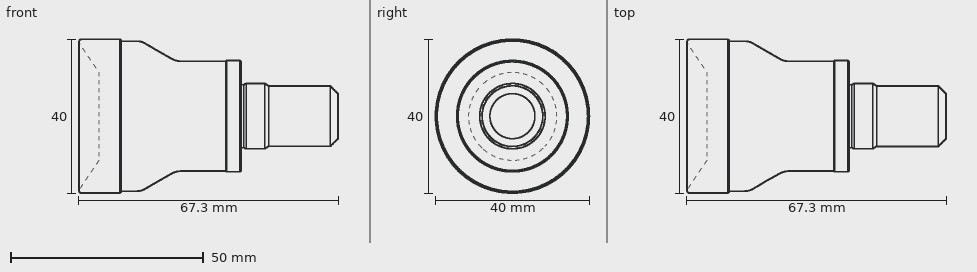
import cadquery as cq
import math

TOTAL_LENGTH = 67.3

CAP_RADIUS = 20.01
CAP_LENGTH = 11.0
CAP_BACK_CHAMFER = 0.4
RIM_ROUND = 0.75
DISH_FLOOR_RADIUS = 11.45
DISH_ANGLE = math.radians(34)

HEAD_RADIUS = 39.0 / 2
HEAD_END = 15.1
NECK_ANGLE = math.radians(30)
SHOULDER_ROUND = 4.05
NECK_ROUND = 5.0
BARREL_RADIUS = 28.6 / 2

COLLAR_RADIUS = 29.0 / 2
COLLAR_START = 38.15
COLLAR_END = 42.2
COLLAR_FRONT_CHAMFER = COLLAR_RADIUS - BARREL_RADIUS
COLLAR_BACK_CHAMFER = 0.4

GROOVE_RADIUS = 8.2
GROOVE_WIDTH = 0.6
LAND_RADIUS = 17.0 / 2
LAND_START = 43.4
LAND_END = 48.2
LAND_TAPER_LENGTH = 1.0
SHANK_RADIUS = 15.75 / 2
TIP_CHAMFER = 2.0


def revolve_about_x(profile):
    """Revolve a closed (x, radius) outline into a full solid about the X axis."""
    return profile.close().revolve(360, (0, 0, 0), (1, 0, 0))


def make_cap():
    """Disc whose rounded rim runs tangentially into the conical dish."""
    rim_center_radius = CAP_RADIUS - RIM_ROUND
    dish_rim_x = RIM_ROUND * (1 - math.cos(DISH_ANGLE))
    dish_rim_radius = rim_center_radius - RIM_ROUND * math.sin(DISH_ANGLE)
    dish_depth = dish_rim_x + (dish_rim_radius - DISH_FLOOR_RADIUS) * math.tan(DISH_ANGLE)
    profile = (
        cq.Workplane("XY")
        .moveTo(dish_depth, 0)
        .lineTo(dish_depth, DISH_FLOOR_RADIUS)
        .lineTo(dish_rim_x, dish_rim_radius)
        .threePointArc((0, rim_center_radius), (RIM_ROUND, CAP_RADIUS))
        .lineTo(CAP_LENGTH - CAP_BACK_CHAMFER, CAP_RADIUS)
        .lineTo(CAP_LENGTH, CAP_RADIUS - CAP_BACK_CHAMFER)
        .lineTo(CAP_LENGTH, 0)
    )
    return revolve_about_x(profile)


def add_tapered_neck(profile):
    """Continue the outline from the head to the barrel: round, straight taper, round."""
    sine = math.sin(NECK_ANGLE)
    half_sine = math.sin(NECK_ANGLE / 2)
    cosine = math.cos(NECK_ANGLE)
    half_cosine = math.cos(NECK_ANGLE / 2)

    taper_start_x = HEAD_END + SHOULDER_ROUND * sine
    taper_start_radius = HEAD_RADIUS - SHOULDER_ROUND * (1 - cosine)
    taper_end_radius = BARREL_RADIUS + NECK_ROUND * (1 - cosine)
    taper_end_x = taper_start_x + (taper_start_radius - taper_end_radius) / math.tan(NECK_ANGLE)
    barrel_start_x = taper_end_x + NECK_ROUND * sine

    shoulder_middle = (
        HEAD_END + SHOULDER_ROUND * half_sine,
        HEAD_RADIUS - SHOULDER_ROUND * (1 - half_cosine),
    )
    neck_middle = (
        barrel_start_x - NECK_ROUND * half_sine,
        BARREL_RADIUS + NECK_ROUND * (1 - half_cosine),
    )
    return (
        profile
        .threePointArc(shoulder_middle, (taper_start_x, taper_start_radius))
        .lineTo(taper_end_x, taper_end_radius)
        .threePointArc(neck_middle, (barrel_start_x, BARREL_RADIUS))
    )


def add_collar(profile):
    """Continue the outline along the barrel and over the chamfered collar."""
    return (
        profile
        .lineTo(COLLAR_START, BARREL_RADIUS)
        .lineTo(COLLAR_START + COLLAR_FRONT_CHAMFER, COLLAR_RADIUS)
        .lineTo(COLLAR_END - COLLAR_BACK_CHAMFER, COLLAR_RADIUS)
        .lineTo(COLLAR_END, COLLAR_RADIUS - COLLAR_BACK_CHAMFER)
    )


def add_stem(profile):
    """Continue the outline through the relief groove, land and shank to the axis."""
    return (
        profile
        .lineTo(COLLAR_END, GROOVE_RADIUS)
        .lineTo(COLLAR_END + GROOVE_WIDTH, GROOVE_RADIUS)
        .lineTo(LAND_START, LAND_RADIUS)
        .lineTo(LAND_END, LAND_RADIUS)
        .lineTo(LAND_END + LAND_TAPER_LENGTH, SHANK_RADIUS)
        .lineTo(TOTAL_LENGTH - TIP_CHAMFER, SHANK_RADIUS)
        .lineTo(TOTAL_LENGTH, SHANK_RADIUS - TIP_CHAMFER)
        .lineTo(TOTAL_LENGTH, 0)
    )


def make_body():
    """Stepped body that carries the cap on its flat head."""
    profile = (
        cq.Workplane("XY")
        .moveTo(CAP_LENGTH, 0)
        .lineTo(CAP_LENGTH, HEAD_RADIUS)
        .lineTo(HEAD_END, HEAD_RADIUS)
    )
    profile = add_tapered_neck(profile)
    profile = add_collar(profile)
    profile = add_stem(profile)
    return revolve_about_x(profile)


cap = make_cap()
body = make_body()

result = cq.Compound.makeCompound([cap.val(), body.val()])